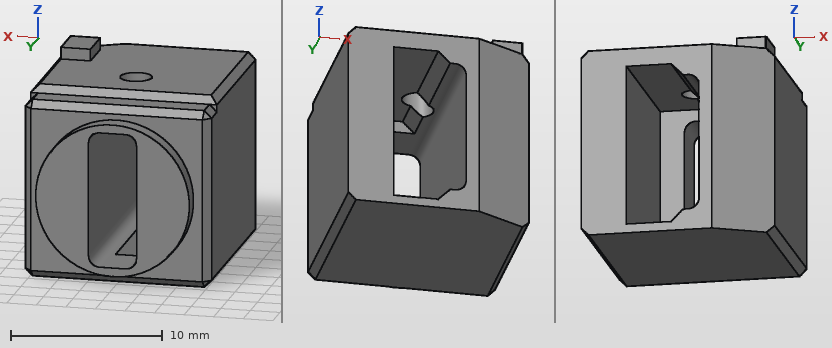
import cadquery as cq

width = 12.6
bottom_z = -6.0
top_z = 6.6
front_y = -7.5
step_y = 3.5
edge_chamfer = 0.5

plate_thickness = 2.0
plate_top_z = top_z - edge_chamfer
back_y = step_y + plate_thickness

boss_diameter = 10.4
boss_length = 1.2

corner_cut_x = 3.8
corner_cut_y = 2.0

tab_width = 2.0
tab_length = 2.8
tab_height = 0.8
tab_right_x = width / 2 - edge_chamfer
tab_back_y = -3.0

slot_width = 3.25
slot_height = 9.2
slot_radius = 0.75

pocket_left_x = -3.25
pocket_slope_x = -0.25
pocket_half_height = 5.4

hole_diameter = 2.1


def block(y_start, y_end, z_top):
    """Box of full width between two Y planes, spanning the common bottom to a given top."""
    height = z_top - bottom_z
    return (
        cq.Workplane("XY")
        .box(width, y_end - y_start, height, centered=(True, False, False))
        .translate((0, y_start, bottom_z))
    )


def xz_plane(y):
    """Workplane with local axes X and Z at a given Y; negative extrusions run toward +Y."""
    return cq.Workplane("XZ", origin=(0, y, 0))


def make_main_block():
    """Front block, with its long edges and its top rear edge chamfered."""
    return block(front_y, step_y, top_z).edges("|Y or (>Y and >Z)").chamfer(edge_chamfer)


def make_plate():
    """Rear plate, its long edges and back edges chamfered together so the corners end in triangles."""
    return block(step_y, back_y, plate_top_z).edges("|Y or >Y").chamfer(edge_chamfer)


def make_boss():
    """Round boss standing on the back of the plate."""
    return xz_plane(back_y).circle(boss_diameter / 2).extrude(-boss_length)


def make_tab():
    """Rectangular tab standing on the top face."""
    return (
        cq.Workplane("XY")
        .box(tab_width, tab_length, tab_height, centered=False)
        .translate((tab_right_x - tab_width, tab_back_y - tab_length, top_z))
    )


def make_corner_cut():
    """Triangular prism that slants the front right corner over the full height."""
    right_x = width / 2
    return (
        cq.Workplane("XY", origin=(0, 0, bottom_z))
        .moveTo(right_x - corner_cut_x, front_y)
        .lineTo(right_x, front_y)
        .lineTo(right_x, front_y + corner_cut_y)
        .close()
        .extrude(top_z + tab_height - bottom_z)
    )


def make_slot():
    """Rounded rectangular slot through the block, plate and boss."""
    depth = back_y + boss_length - front_y
    return (
        xz_plane(front_y)
        .rect(slot_width, slot_height)
        .extrude(-depth)
        .edges("|Y")
        .fillet(slot_radius)
    )


def make_pocket():
    """Pocket beside the slot, with 45 degree slopes that lead into the slot."""
    slope_end_x = slot_width / 2
    slope_end_z = pocket_half_height - (slope_end_x - pocket_slope_x)
    return (
        xz_plane(front_y)
        .moveTo(pocket_left_x, -pocket_half_height)
        .lineTo(pocket_slope_x, -pocket_half_height)
        .lineTo(slope_end_x, -slope_end_z)
        .lineTo(slope_end_x, slope_end_z)
        .lineTo(pocket_slope_x, pocket_half_height)
        .lineTo(pocket_left_x, pocket_half_height)
        .close()
        .extrude(front_y - step_y)
    )


def make_hole():
    """Round hole from the top face down into the pocket."""
    return cq.Workplane("XY").circle(hole_diameter / 2).extrude(top_z)


result = make_main_block().union(make_plate()).union(make_boss()).union(make_tab())
for cutter in (make_corner_cut(), make_slot(), make_pocket(), make_hole()):
    result = result.cut(cutter)